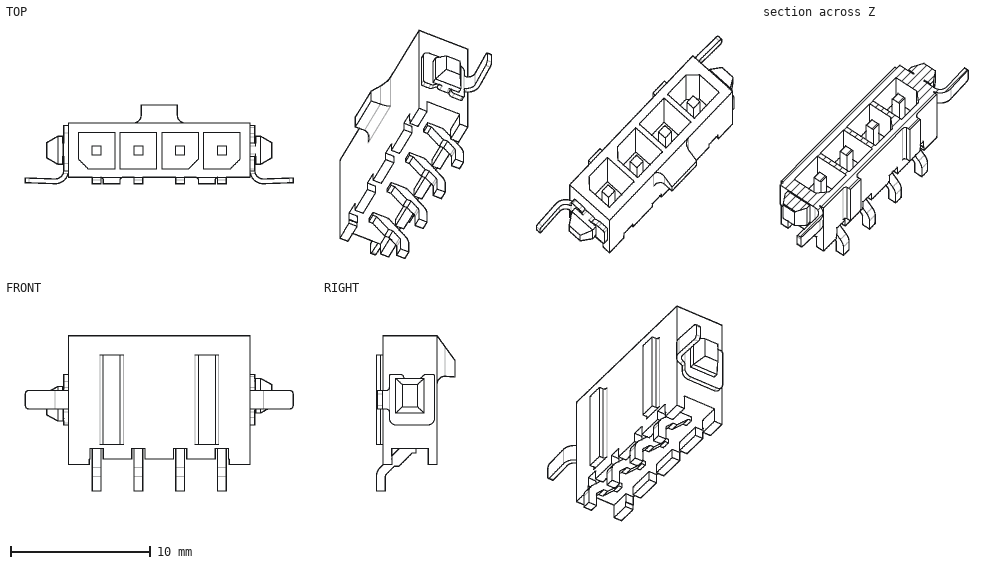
import cadquery as cq
import math


OVERALL_WIDTH = 19.25
OVERALL_HEIGHT = 11.16

CONTACTS = 4
PITCH = 3.0
PIN_SIZE = 0.66
CONTACT_XS = [(i - (CONTACTS - 1) / 2) * PITCH for i in range(CONTACTS)]

BODY_WIDTH = 13.04
BODY_DEPTH = 3.9
BODY_HEIGHT = 9.26
HALF_WIDTH = BODY_WIDTH / 2
CHANNEL_HEIGHT = 1.16
CHANNEL_FRONT = 0.65
CHANNEL_BACK = 3.25
SKIRT_HEIGHT = 0.4
FOOT_WIDTH = 1.51
SLOT_WIDTH = 0.93

POCKET_SIZE = 2.62
POCKET_CENTRE_Y = 1.92
POCKET_DEPTH = 6.9
POCKET_CHAMFER = 0.7
PIN_RECESS = 2.5
CHAMFERED_CORNERS = ["<X and <Y", None, ">X and <Y", ">X and <Y"]

TAIL_FRONT = -0.475
TAIL_BOTTOM = BODY_HEIGHT - OVERALL_HEIGHT
TAIL_BEND_RADIUS = 0.94
TAIL_BEND_Z = -0.866
SHOULDER_Z = -0.13
HEEL_BACK = 2.39
HEEL_BOTTOM = 0.82
CRANK_WIDTH = 0.9
CRANK_ANGLE = 45.0

RIB_X = 3.415
RIB_WIDTH = 1.22
RIB_PROUD = 0.47
RIB_BOTTOM = 1.445
RIB_TOP = 7.885
FLARE_WIDTH = 0.245
FLARE_HEIGHT = 0.16

LATCH_WIDTH = 2.62
LATCH_PROUD = 1.295
LATCH_ROOT_RADIUS = 0.55
LATCH_TIP_TOP = 7.47
LATCH_TIP_BOTTOM = 6.29
LATCH_ROOT_BOTTOM = 6.34

CLIP_THICKNESS = 0.355
CLIP_FRONT = 0.46
CLIP_BACK = 3.72
CLIP_BOTTOM = 2.84
CLIP_TOP = 6.486
CLIP_CENTRE_Z = (CLIP_BOTTOM + CLIP_TOP) / 2
CLIP_TOP_RADIUS = 0.53
CLIP_FOOT_RADIUS = 0.15
ARM_WIDTH = 1.345
ARM_ROOT_RADIUS = 0.2
ARM_TIP_RADIUS = 0.26
ARM_BEND_RADIUS = 0.95
ARM_BEND_ANGLE = 92.0
ARM_REACH = OVERALL_WIDTH / 2
MOUTH_BACK = 2.99
MOUTH_FRONT_RADIUS = 0.25
MOUTH_BACK_RADIUS = 0.33

NECK_FRONT = 1.5
NECK_BACK = 2.45
NECK_RADIUS = 0.19
NECK_LENGTH = 0.4
HEAD_FRONT = 0.92
HEAD_BACK = 2.96
HEAD_BOTTOM = 3.126
HEAD_TOP = 5.62
HEAD_START = HALF_WIDTH + NECK_LENGTH
HEAD_TAPER_START = 7.28
HEAD_END = 8.09
TIP_DEPTH = 1.09
TIP_HEIGHT = 1.6


def box(x0, x1, y0, y1, z0, z1):
    return cq.Workplane("XY").box(x1 - x0, y1 - y0, z1 - z0, centered=False).translate((x0, y0, z0))


def along_x(profile, x0, x1):
    """Extrude a closed (Y, Z) profile from x0 to x1."""
    return profile.extrude(x1 - x0).translate((x0, 0, 0))


def make_housing():
    body = box(-HALF_WIDTH, HALF_WIDTH, 0, BODY_DEPTH, 0, BODY_HEIGHT)
    body = body.cut(box(-HALF_WIDTH, HALF_WIDTH, CHANNEL_FRONT, CHANNEL_BACK, 0, CHANNEL_HEIGHT))
    skirt_half = HALF_WIDTH - FOOT_WIDTH
    body = body.cut(box(-skirt_half, skirt_half, 0, BODY_DEPTH, 0, SKIRT_HEIGHT))
    for x in CONTACT_XS:
        slot = box(x - SLOT_WIDTH / 2, x + SLOT_WIDTH / 2, 0, BODY_DEPTH, 0, CHANNEL_HEIGHT)
        body = body.cut(slot)
    return body


def make_pocket(x, corner):
    half = POCKET_SIZE / 2
    pocket = box(
        x - half, x + half,
        POCKET_CENTRE_Y - half, POCKET_CENTRE_Y + half,
        BODY_HEIGHT - POCKET_DEPTH, BODY_HEIGHT,
    )
    if corner:
        pocket = pocket.edges("|Z").edges(corner).chamfer(POCKET_CHAMFER)
    return pocket


def make_contact(x):
    """Square pin in the pocket, joined under the floor to a tail cranked towards the front."""
    bend_y = TAIL_FRONT + TAIL_BEND_RADIUS
    inner_radius = TAIL_BEND_RADIUS - PIN_SIZE

    def on_bend(radius, degrees):
        angle = math.radians(degrees)
        return (bend_y - radius * math.cos(angle), TAIL_BEND_Z + radius * math.sin(angle))

    outer_y, outer_z = on_bend(TAIL_BEND_RADIUS, CRANK_ANGLE)
    upper_offset = outer_y - outer_z
    inner_offset = upper_offset + PIN_SIZE * math.sqrt(2)
    lower_offset = upper_offset + CRANK_WIDTH * math.sqrt(2)

    profile = (
        cq.Workplane("YZ")
        .moveTo(TAIL_FRONT, TAIL_BOTTOM)
        .lineTo(TAIL_FRONT, TAIL_BEND_Z)
        .threePointArc(on_bend(TAIL_BEND_RADIUS, CRANK_ANGLE / 2), (outer_y, outer_z))
        .lineTo(CHANNEL_HEIGHT + upper_offset, CHANNEL_HEIGHT)
        .lineTo(HEEL_BACK, CHANNEL_HEIGHT)
        .lineTo(HEEL_BACK, HEEL_BOTTOM)
        .lineTo(HEEL_BOTTOM + lower_offset, HEEL_BOTTOM)
        .lineTo(SHOULDER_Z + lower_offset, SHOULDER_Z)
        .lineTo(SHOULDER_Z + inner_offset, SHOULDER_Z)
        .lineTo(*on_bend(inner_radius, CRANK_ANGLE))
        .threePointArc(on_bend(inner_radius, CRANK_ANGLE / 2), on_bend(inner_radius, 0))
        .lineTo(TAIL_FRONT + PIN_SIZE, TAIL_BOTTOM)
        .close()
    )
    half = PIN_SIZE / 2
    tail = along_x(profile, x - half, x + half)
    pin = box(
        x - half, x + half,
        POCKET_CENTRE_Y - half, POCKET_CENTRE_Y + half,
        CHANNEL_HEIGHT, BODY_HEIGHT - PIN_RECESS,
    )
    return tail.union(pin)


def make_rib(x):
    """Front rib with a concave flare along both sides of its root."""
    half = RIB_WIDTH / 2
    flare_radius = (FLARE_WIDTH**2 + FLARE_HEIGHT**2) / (2 * FLARE_HEIGHT)
    half_turn = math.asin(FLARE_WIDTH / flare_radius) / 2
    mid_x = half + FLARE_WIDTH - flare_radius * math.sin(half_turn)
    mid_y = -flare_radius * (1 - math.cos(half_turn))
    profile = (
        cq.Workplane("XY")
        .moveTo(-half - FLARE_WIDTH, 0)
        .threePointArc((-mid_x, mid_y), (-half, -FLARE_HEIGHT))
        .lineTo(-half, -RIB_PROUD)
        .lineTo(half, -RIB_PROUD)
        .lineTo(half, -FLARE_HEIGHT)
        .threePointArc((mid_x, mid_y), (half + FLARE_WIDTH, 0))
        .close()
    )
    return profile.extrude(RIB_TOP - RIB_BOTTOM).translate((x, 0, RIB_BOTTOM))


def make_latch():
    """Ramped catch on the back: a plan outline flared at the root, cut to a ramped side outline."""
    half = LATCH_WIDTH / 2
    radius = LATCH_ROOT_RADIUS
    tip_y = BODY_DEPTH + LATCH_PROUD
    blend = radius * (1 - math.sqrt(0.5))
    plan = (
        cq.Workplane("XY")
        .moveTo(-half - radius, BODY_DEPTH)
        .threePointArc((-half - blend, BODY_DEPTH + blend), (-half, BODY_DEPTH + radius))
        .lineTo(-half, tip_y)
        .lineTo(half, tip_y)
        .lineTo(half, BODY_DEPTH + radius)
        .threePointArc((half + blend, BODY_DEPTH + blend), (half + radius, BODY_DEPTH))
        .close()
        .extrude(BODY_HEIGHT)
    )
    side = (
        cq.Workplane("YZ")
        .moveTo(BODY_DEPTH, BODY_HEIGHT)
        .lineTo(tip_y, LATCH_TIP_TOP)
        .lineTo(tip_y, LATCH_TIP_BOTTOM)
        .lineTo(BODY_DEPTH + radius, LATCH_ROOT_BOTTOM)
        .threePointArc(
            (BODY_DEPTH + blend, LATCH_ROOT_BOTTOM - blend),
            (BODY_DEPTH, LATCH_ROOT_BOTTOM - radius),
        )
        .close()
    )
    return plan.intersect(along_x(side, -half - radius, half + radius))


def round_clip_corner(solid, y, z, radius):
    """Fillet the one edge that runs along X through (y, z)."""
    tolerance = 0.01
    nearby = cq.selectors.BoxSelector(
        (-OVERALL_WIDTH, y - tolerance, z - tolerance), (0, y + tolerance, z + tolerance)
    )
    return solid.edges("|X").edges(nearby).fillet(radius)


def make_clip():
    """Left solder clip: a flat plate on the end wall whose front arm bends outwards."""
    plate_inner = -HALF_WIDTH
    plate_outer = plate_inner - CLIP_THICKNESS
    bend_x = plate_inner - ARM_BEND_RADIUS
    bend_y = -RIB_PROUD + ARM_BEND_RADIUS
    inner_radius = ARM_BEND_RADIUS - CLIP_THICKNESS

    def on_bend(radius, degrees):
        angle = math.radians(degrees)
        return (bend_x + radius * math.cos(angle), bend_y - radius * math.sin(angle))

    def at_tip(radius):
        """Where the straight arm, leaving the bend at the given radius, reaches its tip."""
        x, y = on_bend(radius, ARM_BEND_ANGLE)
        slope = math.tan(math.radians(ARM_BEND_ANGLE - 90))
        return (-ARM_REACH, y + (x + ARM_REACH) * slope)

    strip = (
        cq.Workplane("XY")
        .moveTo(plate_inner, CLIP_BACK)
        .lineTo(plate_inner, bend_y)
        .threePointArc(
            on_bend(ARM_BEND_RADIUS, ARM_BEND_ANGLE / 2), on_bend(ARM_BEND_RADIUS, ARM_BEND_ANGLE)
        )
        .lineTo(*at_tip(ARM_BEND_RADIUS))
        .lineTo(*at_tip(inner_radius))
        .lineTo(*on_bend(inner_radius, ARM_BEND_ANGLE))
        .threePointArc(on_bend(inner_radius, ARM_BEND_ANGLE / 2), (plate_outer, bend_y))
        .lineTo(plate_outer, CLIP_BACK)
        .close()
        .extrude(CLIP_TOP)
    )

    plate = box(-ARM_REACH, plate_inner, CLIP_FRONT, CLIP_BACK, CLIP_BOTTOM, CLIP_TOP)
    arm_bottom = CLIP_CENTRE_Z - ARM_WIDTH / 2
    arm_top = CLIP_CENTRE_Z + ARM_WIDTH / 2
    arm = box(-ARM_REACH, plate_inner, -BODY_DEPTH, CLIP_FRONT, arm_bottom, arm_top)
    outline = plate.edges("|X and >Z").fillet(CLIP_TOP_RADIUS)
    outline = outline.edges("|X and <Z").fillet(CLIP_FOOT_RADIUS)
    outline = outline.union(arm)
    for root_z in (arm_bottom, arm_top):
        outline = round_clip_corner(outline, CLIP_FRONT, root_z, ARM_ROOT_RADIUS)

    clip = strip.intersect(outline)
    clip = clip.faces("<X").edges("not |Z").fillet(ARM_TIP_RADIUS)
    clip = clip.cut(make_clip_slot())
    clip = round_clip_corner(clip, NECK_FRONT, CLIP_BOTTOM, MOUTH_FRONT_RADIUS)
    return round_clip_corner(clip, MOUTH_BACK, CLIP_BOTTOM, MOUTH_BACK_RADIUS)


def make_clip_slot():
    """Slot in the plate as wide as the peg neck, its back side sloping out to a wider mouth."""
    profile = (
        cq.Workplane("YZ")
        .moveTo(NECK_FRONT, CLIP_BOTTOM)
        .lineTo(MOUTH_BACK, CLIP_BOTTOM)
        .lineTo(NECK_BACK, CLIP_BOTTOM + MOUTH_BACK - NECK_BACK)
        .lineTo(NECK_BACK, CLIP_CENTRE_Z)
        .lineTo(NECK_FRONT, CLIP_CENTRE_Z)
        .close()
    )
    return along_x(profile, -HALF_WIDTH - CLIP_THICKNESS, -HALF_WIDTH)


def make_peg():
    """Left peg: a neck through the clip slot, carrying a head that tapers to a flat end."""
    neck = box(-HEAD_START, -HALF_WIDTH, NECK_FRONT, NECK_BACK, HEAD_BOTTOM, CLIP_CENTRE_Z)
    neck = neck.edges("|X and <Z").fillet(NECK_RADIUS)
    collar = box(-HEAD_TAPER_START, -HEAD_START, HEAD_FRONT, HEAD_BACK, HEAD_BOTTOM, HEAD_TOP)
    taper = (
        cq.Workplane("YZ")
        .center((HEAD_FRONT + HEAD_BACK) / 2, (HEAD_BOTTOM + HEAD_TOP) / 2)
        .rect(HEAD_BACK - HEAD_FRONT, HEAD_TOP - HEAD_BOTTOM)
        .workplane(offset=HEAD_TAPER_START - HEAD_END)
        .rect(TIP_DEPTH, TIP_HEIGHT)
        .loft()
        .translate((-HEAD_TAPER_START, 0, 0))
    )
    return neck.union(collar).union(taper)


housing = make_housing()
for contact_x, chamfered_corner in zip(CONTACT_XS, CHAMFERED_CORNERS):
    housing = housing.cut(make_pocket(contact_x, chamfered_corner))
for contact_x in CONTACT_XS:
    housing = housing.union(make_contact(contact_x))
for rib_x in (-RIB_X, RIB_X):
    housing = housing.union(make_rib(rib_x))
housing = housing.union(make_latch())

left_end = make_clip().union(make_peg())
right_end = left_end.rotate((0, 0, CLIP_CENTRE_Z), (0, 1, CLIP_CENTRE_Z), 180)

result = housing.union(left_end).union(right_end)